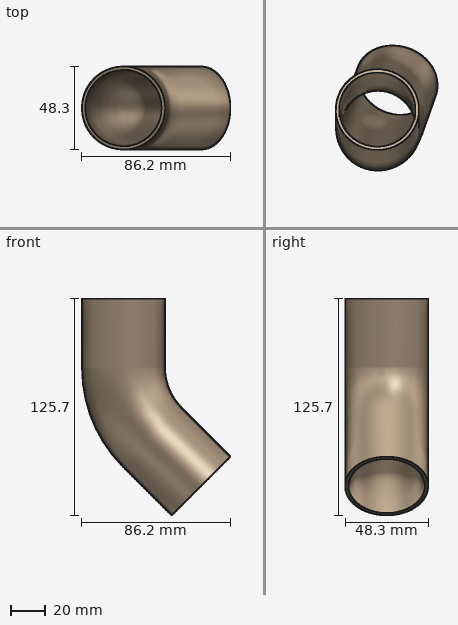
import cadquery as cq
import math

outer_diameter = 48.3
wall = 2.0
end_length = 40.0
bend_radius = 57.0
bend_angle = 45.0

inner_diameter = outer_diameter - 2 * wall
angle = math.radians(bend_angle)


def bend_point(turn):
    """Point on the bend centreline after turning by the given angle in radians."""
    return (bend_radius * (1 - math.cos(turn)), -bend_radius * math.sin(turn))


bend_end = bend_point(angle)
outlet = (
    bend_end[0] + end_length * math.sin(angle),
    bend_end[1] - end_length * math.cos(angle),
)
centreline = (
    cq.Workplane("XZ")
    .moveTo(0, end_length)
    .lineTo(0, 0)
    .threePointArc(bend_point(angle / 2), bend_end)
    .lineTo(*outlet)
)

result = (
    cq.Workplane("XY", origin=(0, 0, end_length))
    .circle(outer_diameter / 2)
    .circle(inner_diameter / 2)
    .sweep(centreline)
)